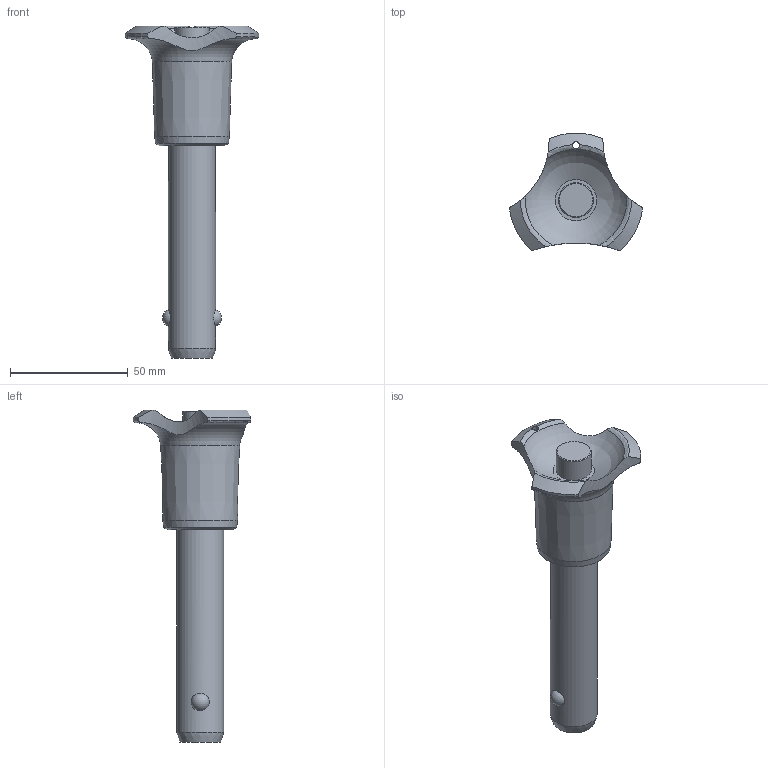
import cadquery as cq
import math

total_length = 141.2
handle_height = 50.9
shank_length = total_length - handle_height

shank_radius = 10.0
tip_radius = 8.7
tip_height = 4.1
tip_bulge = 0.2

ball_radius = 3.9
ball_reach = 12.5
ball_height_above_tip = 17.0

grip_low_radius = 15.9
grip_end_radius = 14.0
grip_round_radius = 15.5
flare_height = 15.0
grip_top_z = handle_height - flare_height
grip_low_z = 4.0
grip_round_z = 1.0

rim_radius = 28.55
rim_underside_z = handle_height - 5.4
rim_edge_round = 1.1
rim_chamfer_width = 4.9
rim_chamfer_height = 3.1

flare_radius = 10.5
flare_center_r = 27.3
flare_center_z = rim_underside_z - flare_radius
grip_top_radius = flare_center_r - math.sqrt(flare_radius**2 - (grip_top_z - flare_center_z) ** 2)

bowl_edge_radius = 21.6
bowl_edge_depth = 0.9
bowl_wall_radius = 18.2
bowl_wall_depth = 5.0
bowl_floor_radius = 8.8
bowl_floor_depth = 10.5

bowl_lip_width = rim_radius - rim_chamfer_width - bowl_edge_radius
bowl_lip_angle = 2 * math.atan2(bowl_edge_depth, bowl_lip_width)
bowl_lip_round = bowl_lip_width / math.sin(bowl_lip_angle)

button_radius = 7.4
button_top_depth = 0.5
button_chamfer = 0.3

cutout_distance = 18.25
front_cutout_radius = 56.0
side_cutout_radius = 33.0
lanyard_hole_diameter = 3.0
lanyard_hole_y = 23.4


def make_handle():
    """Revolve the grip, flare, rim and bowl about Z."""
    top_z = handle_height
    diagonal = math.sqrt(0.5)
    flare_middle = (
        flare_center_r - flare_radius * diagonal,
        flare_center_z + flare_radius * diagonal,
    )
    edge_center_r = rim_radius - rim_edge_round
    edge_center_z = rim_underside_z + rim_edge_round
    edge_middle = (
        edge_center_r + rim_edge_round * diagonal,
        edge_center_z - rim_edge_round * diagonal,
    )
    lip_middle = (
        bowl_edge_radius + bowl_lip_width - bowl_lip_round * math.sin(bowl_lip_angle / 2),
        top_z - bowl_lip_round * (1 - math.cos(bowl_lip_angle / 2)),
    )
    profile = (
        cq.Workplane("XZ")
        .lineTo(grip_end_radius, 0)
        .lineTo(grip_round_radius, grip_round_z)
        .lineTo(grip_low_radius, grip_low_z)
        .lineTo(grip_top_radius, grip_top_z)
        .threePointArc(flare_middle, (flare_center_r, rim_underside_z))
        .lineTo(edge_center_r, rim_underside_z)
        .threePointArc(edge_middle, (rim_radius, edge_center_z))
        .lineTo(rim_radius, top_z - rim_chamfer_height)
        .lineTo(rim_radius - rim_chamfer_width, top_z)
        .threePointArc(lip_middle, (bowl_edge_radius, top_z - bowl_edge_depth))
        .threePointArc(
            (bowl_wall_radius, top_z - bowl_wall_depth),
            (bowl_floor_radius, top_z - bowl_floor_depth),
        )
        .lineTo(0, top_z - bowl_floor_depth)
        .close()
    )
    return profile.revolve(360, (0, 0, 0), (0, 1, 0))


def make_finger_cutter(radius, turn):
    """Upright cylinder that scoops the rim; at zero turn it lies on the -Y side."""
    return (
        cq.Workplane("XY")
        .center(0, -(cutout_distance + radius))
        .circle(radius)
        .extrude(handle_height)
        .rotate((0, 0, 0), (0, 0, 1), turn)
    )


def make_shank():
    """Round shank below the handle with a slightly bulged tapered tip."""
    taper_top_z = tip_height - shank_length
    taper_middle = (
        (shank_radius + tip_radius) / 2 + tip_bulge,
        taper_top_z - tip_height / 2,
    )
    profile = (
        cq.Workplane("XZ")
        .moveTo(0, -shank_length)
        .lineTo(tip_radius, -shank_length)
        .threePointArc(taper_middle, (shank_radius, taper_top_z))
        .lineTo(shank_radius, 0)
        .lineTo(0, 0)
        .close()
    )
    return profile.revolve(360, (0, 0, 0), (0, 1, 0))


def make_balls():
    """Two locking balls protruding from the shank along X."""
    center_x = ball_reach - ball_radius
    center_z = ball_height_above_tip - shank_length
    return (
        cq.Workplane("XY", origin=(0, 0, center_z))
        .pushPoints([(-center_x, 0), (center_x, 0)])
        .sphere(ball_radius)
    )


def make_button():
    """Release button rising from the bowl floor."""
    floor_z = handle_height - bowl_floor_depth
    return (
        cq.Workplane("XY", origin=(0, 0, floor_z))
        .circle(button_radius)
        .extrude(bowl_floor_depth - button_top_depth)
        .faces(">Z")
        .chamfer(button_chamfer)
    )


def make_lanyard_hole():
    """Upright drill through the +Y lobe."""
    return (
        cq.Workplane("XY")
        .center(0, lanyard_hole_y)
        .circle(lanyard_hole_diameter / 2)
        .extrude(handle_height)
    )


handle = make_handle()
handle = handle.cut(make_finger_cutter(front_cutout_radius, 0))
for side_turn in (120, 240):
    handle = handle.cut(make_finger_cutter(side_cutout_radius, side_turn))
handle = handle.cut(make_lanyard_hole())

result = handle.union(make_shank()).union(make_balls()).union(make_button())